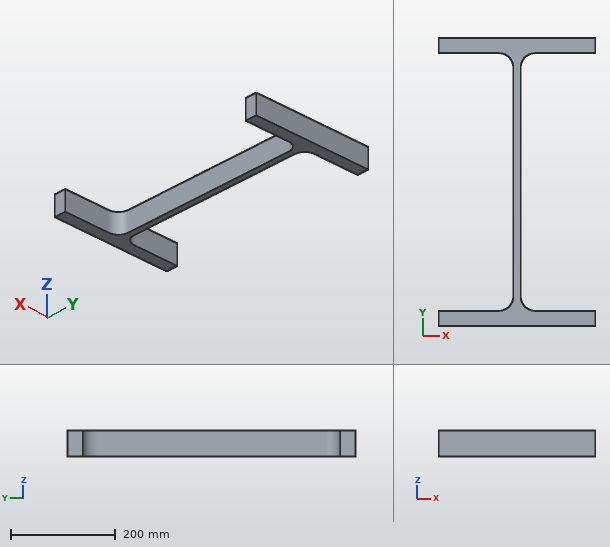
import cadquery as cq

beam_depth = 550.0
flange_width = 300.0
flange_thickness = 29.0
web_thickness = 15.0
root_radius = 27.0
beam_length = 50.0

web_height = beam_depth - 2 * flange_thickness
flange_offset = (beam_depth - flange_thickness) / 2


def make_flange(center_y):
    """Rectangular flange centred on the web plane."""
    return cq.Workplane("XY").center(0, center_y).rect(flange_width, flange_thickness).extrude(beam_length)


web = cq.Workplane("XY").rect(web_thickness, web_height).extrude(beam_length)
beam = web.union(make_flange(flange_offset)).union(make_flange(-flange_offset))

root_edges = cq.selectors.BoxSelector(
    (-web_thickness, -beam_depth, 0),
    (web_thickness, beam_depth, beam_length),
)
result = beam.edges("|Z").edges(root_edges).fillet(root_radius)